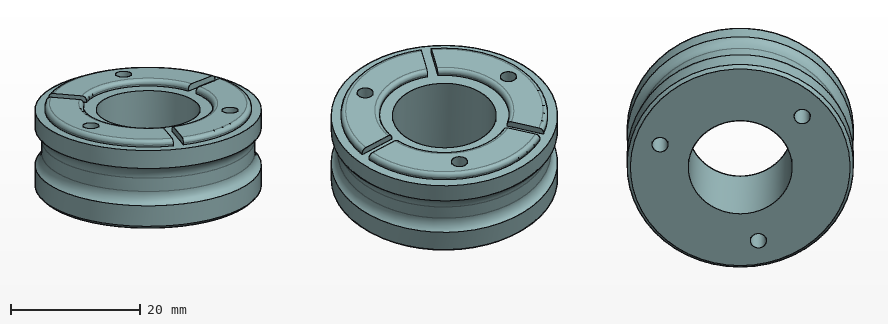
import cadquery as cq
import math

outer_radius = 17.5
bore_diameter = 16.05
total_height = 14.1
pad_height = 1.0
body_height = total_height - pad_height
bottom_chamfer = 0.52

groove_floor_radius = 33.0 / 2
upper_flange_height = 2.98
flare_height = 2.0
groove_floor_height = 2.2
groove_top = body_height - upper_flange_height
floor_top = groove_top - flare_height
floor_bottom = floor_top - groove_floor_height
groove_bottom = floor_bottom - flare_height

pad_count = 3
pad_outer_radius = 16.0
pad_inner_radius = 10.0
pad_edge_radius = 0.75
gap_width = 1.6
hole_diameter = 2.5
hole_circle_radius = 13.0
pad_spacing = 360 / pad_count
first_gap_angle = 90
first_hole_angle = first_gap_angle + pad_spacing / 2

groove_depth = outer_radius - groove_floor_radius
flare_radius = (flare_height**2 + groove_depth**2) / (2 * groove_depth)
half_flare_angle = math.asin(flare_height / flare_radius) / 2
flare_mid_radius = groove_floor_radius + flare_radius * (1 - math.cos(half_flare_angle))
flare_mid_rise = flare_radius * math.sin(half_flare_angle)


def make_body():
    """Revolve the solid rim profile, with the groove and flares."""
    body = (
        cq.Workplane("XZ")
        .lineTo(outer_radius, 0)
        .lineTo(outer_radius, groove_bottom)
        .threePointArc((flare_mid_radius, floor_bottom - flare_mid_rise), (groove_floor_radius, floor_bottom))
        .lineTo(groove_floor_radius, floor_top)
        .threePointArc((flare_mid_radius, floor_top + flare_mid_rise), (outer_radius, groove_top))
        .lineTo(outer_radius, body_height)
        .lineTo(0, body_height)
        .close()
        .revolve(360, (0, 0, 0), (0, 1, 0))
    )
    return body.faces("<Z").edges().chamfer(bottom_chamfer)


def make_pads():
    """Make a ring with rounded top edges, split by radial gaps."""
    pads = (
        cq.Workplane("XY")
        .workplane(offset=body_height)
        .circle(pad_outer_radius)
        .circle(pad_inner_radius)
        .extrude(pad_height)
        .faces(">Z")
        .edges()
        .fillet(pad_edge_radius)
    )
    gap = (
        cq.Workplane("XY")
        .workplane(offset=body_height)
        .center(outer_radius / 2, 0)
        .rect(outer_radius, gap_width)
        .extrude(pad_height)
    )
    for index in range(pad_count):
        angle = first_gap_angle + index * pad_spacing
        pads = pads.cut(gap.rotate((0, 0, 0), (0, 0, 1), angle))
    return pads


def make_holes():
    """Make the cutters for the central bore and one hole per pad."""
    bore = cq.Workplane("XY").circle(bore_diameter / 2).extrude(total_height)
    pad_holes = (
        cq.Workplane("XY")
        .polarArray(hole_circle_radius, first_hole_angle, 360, pad_count)
        .circle(hole_diameter / 2)
        .extrude(total_height)
    )
    return bore.union(pad_holes)


result = make_body().union(make_pads()).cut(make_holes())